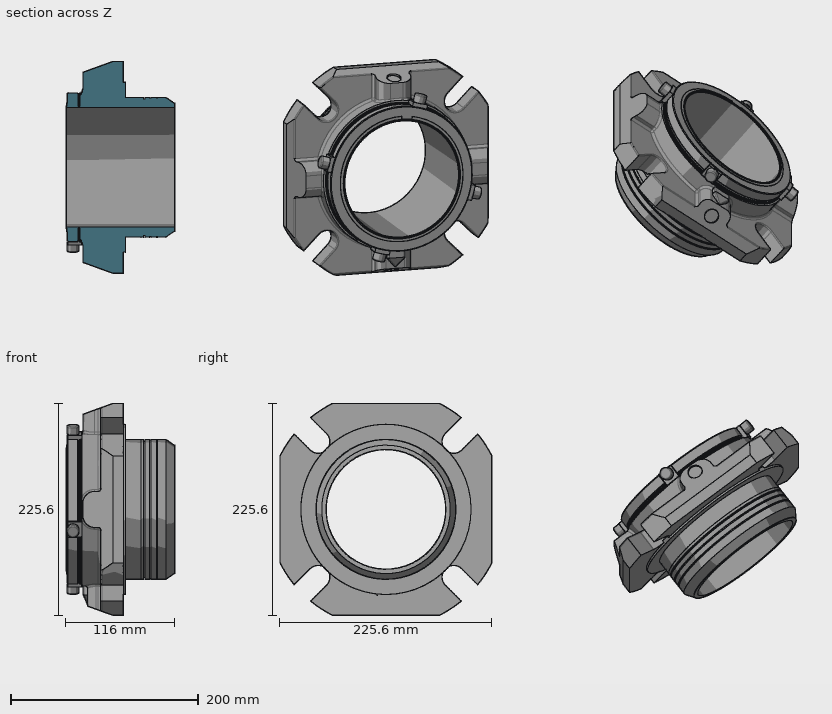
import cadquery as cq
import math


length = 116.0
bore_d = 127.0
bore_mouth_d = 128.6
sleeve_front_d = 130.9
neck_d = 130.2
sleeve_d = 149.0
seal_land_d = 149.2
seal_land_x = 79.7
deep_groove_d = 145.5
shallow_groove_d = 147.8
seal_groove_width = 1.4
deep_groove_x = 82.5
shallow_groove_xs = (89.1, 96.1)
lead_in_x = 106.3
lead_in_end_x = 115.3
lead_in_end_d = 136.7

snap_ring_x = 0.7
snap_ring_d = 137.2
snap_ring_gap_angle = 10.0
clamp_front_x = 1.4
clamp_back_x = 13.0
clamp_d = 158.9
clamp_chamfer = 1.0

lug_count = 4
lug_front_x = 2.0
lug_start_angle = 15.0
lug_width = 16.7
lug_bottom_r = 76.7
lug_top_r = 83.5
lug_back_x = 17.0
screw_d = 13.0
screw_x = 7.5
screw_top_r = 92.3
screw_rounding = 1.1

hub_rim_x = 14.5
hub_groove_x = 15.3
hub_groove_end_x = 16.0
hub_groove_d = 155.7
hub_rim_d = 160.2
hub_front_x = 17.1
hub_d = 164.5

flange_size = 225.6
flange_front_x = 37.0
flange_back_x = 61.2
flange_corner_d = 252.7
flange_edge_fillet = 1.1
bevel_start_x = 49.9
bevel_angle = 20.0
slot_width = 24.5
slot_center_r = 102.0
gasket_d = 181.2
gasket_front_x = 59.0
gasket_back_x = 63.5

gland_fillet = 2.7

arch_width = 38.4
arch_front_x = 18.0
arch_corner_r = 12.5
low_arch_front_x = 23.0
low_arch_corner_r = 9.0

port_d = 15.3
high_port_x = 27.5
low_port_x = 36.5
port_depth = 2.3
pointer_width = 19.5
pointer_base_x = 25.3
pointer_edge_fillet = 1.4
pointer_shoulder_z = -91.0
pointer_tip_z = -102.2
pointer_bend_z = -90.3

half_size = flange_size / 2
bevel_slope = math.tan(math.radians(bevel_angle))


def tube(x_start, x_end, outer_d, inner_d=bore_d):
    """Ring about the X axis."""
    return (
        cq.Workplane("YZ", origin=(x_start, 0, 0))
        .circle(outer_d / 2)
        .circle(inner_d / 2)
        .extrude(x_end - x_start)
    )


def about_axis(body, angle):
    """Turn a body about the X axis; positive angles carry +Z towards -Y."""
    return body.rotate((0, 0, 0), (1, 0, 0), angle)


def bevel_half_height(x):
    return half_size - (bevel_start_x - x) * bevel_slope


def bevel_to_sides(body):
    """Keep the part of a body inside the four bevelled sides of the flange."""
    front_half = bevel_half_height(0)
    side_profile = [
        (0, -front_half),
        (bevel_start_x, -half_size),
        (flange_back_x, -half_size),
        (flange_back_x, half_size),
        (bevel_start_x, half_size),
        (0, front_half),
    ]
    wedge = cq.Workplane("XZ").polyline(side_profile).close().extrude(half_size, both=True)
    return body.intersect(wedge).intersect(about_axis(wedge, 90))


def make_sleeve():
    sleeve = (
        tube(0, clamp_front_x, sleeve_front_d)
        .union(tube(clamp_front_x, hub_front_x, neck_d))
        .union(tube(hub_front_x, seal_land_x, sleeve_d))
        .union(tube(seal_land_x, lead_in_x, seal_land_d))
    )
    lead_in = (
        cq.Workplane("XY")
        .moveTo(lead_in_x, bore_d / 2)
        .lineTo(lead_in_x, seal_land_d / 2)
        .lineTo(lead_in_end_x, lead_in_end_d / 2)
        .lineTo(length, lead_in_end_d / 2)
        .lineTo(length, bore_d / 2)
        .close()
        .revolve(360, (0, 0, 0), (1, 0, 0))
    )
    sleeve = sleeve.union(lead_in)
    grooves = [(deep_groove_x, deep_groove_d)]
    grooves += [(x, shallow_groove_d) for x in shallow_groove_xs]
    for x, bottom_d in grooves:
        sleeve = sleeve.cut(tube(x, x + seal_groove_width, seal_land_d, bottom_d))
    mouth_edge = sleeve.faces("<X").edges(cq.selectors.RadiusNthSelector(0))
    return mouth_edge.chamfer((bore_mouth_d - bore_d) / 2)


def make_snap_ring():
    """Open ring with its gap running from the top towards -Y."""
    profile_height = (snap_ring_d - bore_mouth_d) / 2
    middle_r = (snap_ring_d + bore_mouth_d) / 4
    ring = (
        cq.Workplane("XZ", origin=((snap_ring_x + clamp_front_x) / 2, 0, middle_r))
        .rect(clamp_front_x - snap_ring_x, profile_height)
        .revolve(360 - snap_ring_gap_angle, (0, -middle_r, 0), (1, -middle_r, 0))
    )
    return about_axis(ring, snap_ring_gap_angle)


def make_clamp_ring():
    ring = tube(clamp_front_x, clamp_back_x, clamp_d)
    return ring.edges(cq.selectors.RadiusNthSelector(-1)).chamfer(clamp_chamfer)


def make_lug_with_screw():
    lug = cq.Workplane("XY").box(
        lug_back_x - lug_front_x, lug_width, lug_top_r - lug_bottom_r, centered=(False, True, False)
    )
    lug = lug.translate((lug_front_x, 0, lug_bottom_r))
    screw = (
        cq.Workplane("XY", origin=(screw_x, 0, lug_top_r))
        .circle(screw_d / 2)
        .extrude(screw_top_r - lug_top_r)
        .faces(">Z")
        .edges()
        .fillet(screw_rounding)
    )
    return lug.union(screw)


def make_hub_rim():
    return (
        tube(hub_rim_x, hub_groove_x, clamp_d)
        .union(tube(hub_groove_x, hub_groove_end_x, hub_groove_d))
        .union(tube(hub_groove_end_x, hub_front_x, hub_rim_d))
    )


def make_plate():
    thickness = flange_back_x - flange_front_x
    plate = tube(flange_front_x, flange_back_x, flange_corner_d)
    slot_length = flange_corner_d
    for angle in (45, 135, 225, 315):
        slot = (
            cq.Workplane("YZ", origin=(flange_front_x, 0, 0))
            .center(0, slot_center_r + (slot_length - slot_width) / 2)
            .slot2D(slot_length, slot_width, 90)
            .extrude(thickness)
        )
        plate = plate.cut(about_axis(slot, angle))
    plate = bevel_to_sides(plate)
    bore_edge = cq.selectors.BoxSelector(
        (0, -sleeve_d / 2, -sleeve_d / 2), (flange_back_x, sleeve_d / 2, sleeve_d / 2), boundingbox=True
    )
    return plate.faces("<X").edges(-bore_edge).fillet(flange_edge_fillet)


def make_arch(front_x, corner_r):
    """Rounded arch on the +Z side, running outwards from the hub."""
    half = arch_width / 2
    foot = half + gland_fillet
    fillet_x = flange_front_x - gland_fillet
    root_x = flange_front_x + 2 * flange_edge_fillet
    diagonal = math.sqrt(0.5)
    corner_offset = corner_r * (1 - diagonal)
    base_offset = gland_fillet * (1 - diagonal)
    arch = (
        cq.Workplane("XY", origin=(0, 0, sleeve_d / 2))
        .moveTo(root_x, -foot)
        .lineTo(flange_front_x, -foot)
        .threePointArc((flange_front_x - base_offset, -half - base_offset), (fillet_x, -half))
        .lineTo(front_x + corner_r, -half)
        .threePointArc((front_x + corner_offset, -half + corner_offset), (front_x, -half + corner_r))
        .lineTo(front_x, half - corner_r)
        .threePointArc((front_x + corner_offset, half - corner_offset), (front_x + corner_r, half))
        .lineTo(fillet_x, half)
        .threePointArc((flange_front_x - base_offset, half + base_offset), (flange_front_x, foot))
        .lineTo(root_x, foot)
        .close()
        .extrude(half_size - sleeve_d / 2)
    )
    return bevel_to_sides(arch)


def make_port(x):
    """Shallow round recess square to the bevel on the +Z side."""
    face_center = cq.Vector(x, 0, bevel_half_height(x))
    angle = math.radians(bevel_angle)
    outward = cq.Vector(-math.sin(angle), 0, math.cos(angle))
    plane = cq.Plane(origin=face_center, xDir=(0, 1, 0), normal=outward)
    return cq.Workplane(plane).circle(port_d / 2).extrude(-port_depth)


def make_pointer():
    """Arrow block on the lower arch, sloping back to its tip."""
    half = pointer_width / 2
    hub_z = -hub_rim_d / 2
    outline = [
        (-half, hub_z),
        (-half, pointer_shoulder_z),
        (0, pointer_tip_z),
        (half, pointer_shoulder_z),
        (half, hub_z),
    ]
    depth = pointer_base_x - arch_front_x
    arrow = cq.Workplane("YZ", origin=(arch_front_x, 0, 0)).polyline(outline).close().extrude(depth)
    slope_profile = [
        (arch_front_x, pointer_bend_z),
        (low_arch_front_x, pointer_tip_z),
        (arch_front_x, pointer_tip_z),
    ]
    slope_cut = cq.Workplane("XZ").polyline(slope_profile).close().extrude(half, both=True)
    arrow = arrow.cut(slope_cut)
    exposed = cq.selectors.BoxSelector(
        (0, -pointer_width, pointer_tip_z), (low_arch_front_x, pointer_width, 0)
    )
    rim = arrow.edges("not |Y").edges("not |X").edges(exposed)
    return rim.fillet(pointer_edge_fillet)


def inside_corners(gland):
    """Edges where the arches and the plate meet the hub cylinder."""
    tolerance = 0.011
    samples = [0, 0.25, 0.5, 0.75, 1]
    corners = []
    for edge in gland.edges().vals():
        on_hub = all(
            abs(math.hypot(point.y, point.z) - hub_d / 2) < tolerance for point in edge.positions(samples)
        )
        if on_hub and edge.Center().x > hub_front_x + tolerance:
            corners.append(edge)
    return corners


def make_gland():
    gland = make_plate()
    hub = tube(hub_front_x, flange_front_x, hub_d)
    gland = gland.union(hub)
    for angle in (0, 90, 270):
        gland = gland.union(about_axis(make_arch(arch_front_x, arch_corner_r), angle))
    gland = gland.union(about_axis(make_arch(low_arch_front_x, low_arch_corner_r), 180))
    gland = gland.newObject(inside_corners(gland)).fillet(gland_fillet)
    gland = gland.cut(make_port(high_port_x))
    return gland.cut(about_axis(make_port(low_port_x), 180))


result = make_gland()
result = result.union(tube(gasket_front_x, gasket_back_x, gasket_d))
result = result.union(make_hub_rim()).union(make_clamp_ring()).union(make_sleeve())
result = result.union(make_snap_ring()).union(make_pointer())
for index in range(lug_count):
    turn = lug_start_angle + index * 360 / lug_count
    result = result.union(about_axis(make_lug_with_screw(), turn))